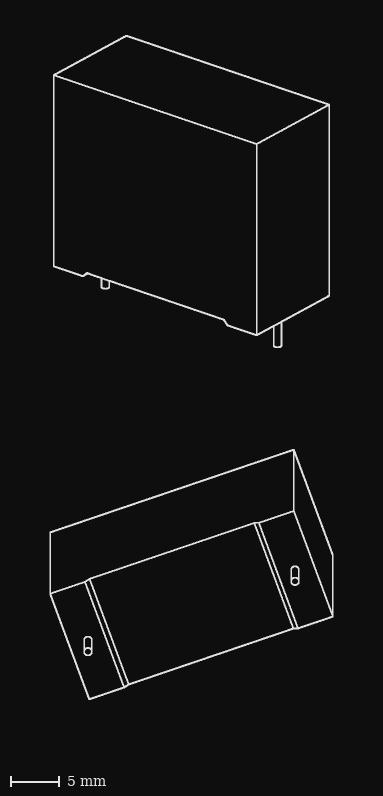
import cadquery as cq

housing_length = 26.5
housing_width = 12.0
housing_height = 21.7
foot_length = 3.8
standoff = 0.5
foot_slope_run = 0.5

lead_diameter = 0.8
lead_pitch = 22.5
lead_projection = 4.0
bridge_height = 2.0

half_length = housing_length / 2
relief_bottom_half = half_length - foot_length
relief_top_half = relief_bottom_half - foot_slope_run


def make_lead():
    """One continuous wire: down-pointing legs at both ends of a straight bridge."""
    radius = lead_diameter / 2
    half_pitch = lead_pitch / 2
    lead = (
        cq.Workplane("YZ", origin=(-half_pitch, 0, 0))
        .center(0, bridge_height)
        .circle(radius)
        .extrude(lead_pitch)
    )
    for leg_x in (-half_pitch, half_pitch):
        leg = (
            cq.Workplane("XY", origin=(leg_x, 0, -lead_projection))
            .circle(radius)
            .extrude(lead_projection + bridge_height)
        )
        elbow = cq.Workplane("XY", origin=(leg_x, 0, bridge_height)).sphere(radius)
        lead = lead.union(leg).union(elbow)
    return lead.solids()


def make_housing(lead):
    """Block with a shallow relief across the underside and a matching channel for the lead."""
    outline = [
        (-half_length, 0),
        (-relief_bottom_half, 0),
        (-relief_top_half, standoff),
        (relief_top_half, standoff),
        (relief_bottom_half, 0),
        (half_length, 0),
        (half_length, housing_height),
        (-half_length, housing_height),
    ]
    block = (
        cq.Workplane("XZ")
        .polyline(outline)
        .close()
        .extrude(housing_width / 2, both=True)
    )
    return block.cut(lead).solids()


lead = make_lead()
housing = make_housing(lead)

result = cq.Compound.makeCompound([housing.val(), lead.val()])